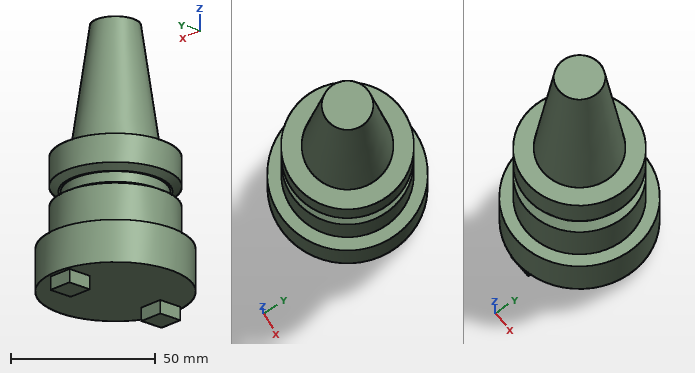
import cadquery as cq

total_height = 104.1
key_height = 5.0
flange_top = 20.8
body_top = 36.3
groove_bottom = 38.1
groove_top = 42.3
collar_bottom = 44.1
collar_top = 54.9
taper_start = 55.8

flange_radius = 55.6 / 2
body_radius = 46.0 / 2
groove_radius = 38.0 / 2
bevel_inner_radius = 19.8
taper_large_radius = 31.8 / 2
taper_small_radius = 17.8 / 2

key_width = 9.7
key_inner_y = 16.7
key_outer_y = 26.1
key_embed = 1.0


def turned_body():
    """Flange, grooved collar and tapered shank as one revolved half profile."""
    profile = [
        (0, key_height),
        (flange_radius, key_height),
        (flange_radius, flange_top),
        (body_radius, flange_top),
        (body_radius, body_top),
        (bevel_inner_radius, groove_bottom),
        (groove_radius, groove_bottom),
        (groove_radius, groove_top),
        (bevel_inner_radius, groove_top),
        (body_radius, collar_bottom),
        (body_radius, collar_top),
        (taper_large_radius, collar_top),
        (taper_large_radius, taper_start),
        (taper_small_radius, total_height),
        (0, total_height),
    ]
    return cq.Workplane("XZ").polyline(profile).close().revolve(360, (0, 0, 0), (0, 1, 0))


def drive_key(side):
    """Rectangular key hanging below the flange; side is +1 or -1 along Y."""
    centre_y = side * (key_inner_y + key_outer_y) / 2
    return (
        cq.Workplane("XY")
        .center(0, centre_y)
        .rect(key_width, key_outer_y - key_inner_y)
        .extrude(key_height + key_embed)
    )


result = turned_body()
for side in (-1, 1):
    result = result.union(drive_key(side))